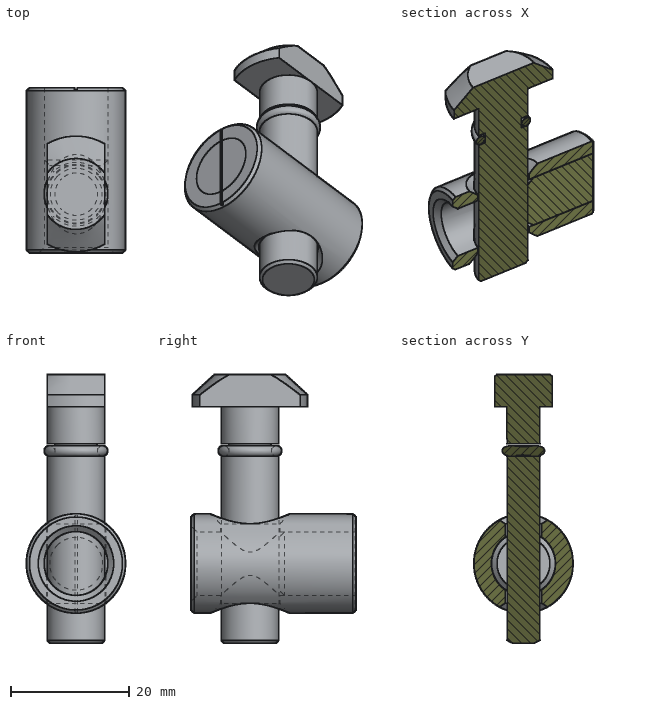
import cadquery as cq


housing_diameter = 16.85
housing_length = 28.0
housing_front = -10.0
housing_back = housing_front + housing_length
housing_chamfer = 0.55
bore_diameter = 10.8
bore_chamfer = 1.0

cross_hole_diameter = 10.05
flare_diameter = 13.4
flare_depth = (flare_diameter - cross_hole_diameter) / 2

shaft_diameter = 9.8
bolt_length = 45.5
bolt_bottom = -13.5
bolt_top = bolt_bottom + bolt_length
shaft_chamfer = 0.5
head_diameter = 19.55
head_top_diameter = 12.0
head_height = 5.5
head_rim_height = 2.05
head_bottom = bolt_top - head_height

ring_diameter = 10.8
groove_diameter = 7.2
ring_thickness = (ring_diameter - groove_diameter) / 2
groove_height = 2.1
groove_top = head_bottom - 6.25
groove_bottom = groove_top - groove_height

screw_tip = shaft_diameter / 2
screw_chamfer = 0.9

slot_width = 0.4
slot_depth = 0.27


def cylinder_along_y(diameter, front, back):
    """Solid cylinder on the Y axis between two Y positions."""
    workplane = cq.Workplane("XZ", origin=(0, front, 0))
    return workplane.circle(diameter / 2).extrude(front - back)


def back_slot():
    """Straight slot across the full width of the back end."""
    slot = cq.Workplane("XY").box(slot_width, 2 * slot_depth, housing_diameter)
    return slot.translate((0, housing_back, 0))


def cross_hole():
    """Cylindrical hole through the housing that flares at 45 degrees toward both ends."""
    hole_radius = cross_hole_diameter / 2
    flare_radius = flare_diameter / 2
    flare_end = housing_diameter / 2
    flare_start = flare_end - flare_depth
    profile = [
        (0, -flare_end),
        (flare_radius, -flare_end),
        (hole_radius, -flare_start),
        (hole_radius, flare_start),
        (flare_radius, flare_end),
        (0, flare_end),
    ]
    return cq.Workplane("XZ").polyline(profile).close().revolve(360, (0, 0), (0, 1))


def make_housing():
    """Chamfered tube with a flared cross hole and a slotted back end."""
    body = cylinder_along_y(housing_diameter, housing_front, housing_back)
    body = body.faces("<Y or >Y").edges().chamfer(housing_chamfer)
    body = body.cut(cylinder_along_y(bore_diameter, housing_front, housing_back))
    body = body.faces("<Y").edges("%CIRCLE").edges(cq.selectors.RadiusNthSelector(0)).chamfer(bore_chamfer)
    return body.cut(cross_hole()).cut(back_slot())


def make_bolt_head():
    """Tapered round head cut to two flats as wide as the shaft."""
    rim_radius = head_diameter / 2
    profile = [
        (0, head_bottom),
        (rim_radius, head_bottom),
        (rim_radius, head_bottom + head_rim_height),
        (head_top_diameter / 2, bolt_top),
        (0, bolt_top),
    ]
    head = cq.Workplane("XZ").polyline(profile).close().revolve(360, (0, 0), (0, 1))
    flats = cq.Workplane("XY", origin=(0, 0, head_bottom)).rect(shaft_diameter, head_diameter)
    return head.intersect(flats.extrude(head_height))


def make_bolt():
    """Grooved shaft with a chamfered lower end and a T-shaped head."""
    shaft = cq.Workplane("XY", origin=(0, 0, bolt_bottom)).circle(shaft_diameter / 2)
    shaft = shaft.extrude(head_bottom - bolt_bottom).faces("<Z").chamfer(shaft_chamfer)
    groove = cq.Workplane("XY", origin=(0, 0, groove_bottom))
    groove = groove.circle(shaft_diameter / 2).circle(groove_diameter / 2).extrude(groove_height)
    return shaft.cut(groove).union(make_bolt_head())


def make_sealing_ring():
    """Round-section ring resting on the lower side of the groove."""
    section_radius = ring_thickness / 2
    center_radius = (ring_diameter - ring_thickness) / 2
    section = cq.Workplane("XZ").center(center_radius, groove_bottom + section_radius)
    return section.circle(section_radius).revolve(360, (-center_radius, 0), (-center_radius, 1))


def make_clamping_screw():
    """Screw filling the back of the bore, with a chamfered tip against the bolt."""
    screw = cylinder_along_y(bore_diameter, screw_tip, housing_back)
    return screw.faces("<Y").chamfer(screw_chamfer).cut(back_slot())


housing = make_housing()
bolt = make_bolt()
sealing_ring = make_sealing_ring()
clamping_screw = make_clamping_screw()

result = cq.Compound.makeCompound([
    housing.val(),
    bolt.val(),
    sealing_ring.val(),
    clamping_screw.val(),
])